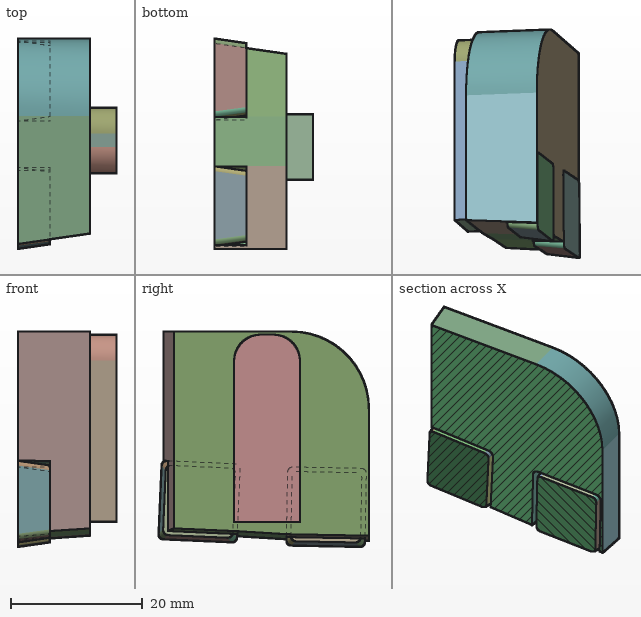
import cadquery as cq
import math

block_depth = 11.0
block_front_y = 0.75
block_back_y = 32.0
block_top_z = 32.8
corner_radius = 11.8
front_draft = 1.57
bottom_draft = 0.8

underside_back_z = 0.95
rear_bend_y = 19.42
rear_bend_z = 1.18
front_bend_y = 11.95
front_bend_z = 1.65
underside_front_z = 2.13
front_flat_slope = (underside_front_z - front_bend_z) / (front_bend_y - block_front_y)

boss_length = 4.0
boss_width = 10.0
boss_radius = 4.0
boss_center_y = 16.5
boss_bottom_z = 3.85
boss_top_z = 32.3

insert_size = 11.97
insert_radius = 0.8
insert_depth = 4.85
insert_draft_angle = 8.0
insert_back_size = insert_size - 2 * insert_depth * math.tan(math.radians(insert_draft_angle))
rear_place = (25.52, 6.1, -1.1)
front_place = (6.2, 6.92, -2.5)


def block_wire(x, setback, rise):
    """Side outline at X, with the front wall set back and the underside raised."""
    arc_inset = corner_radius * (1 - math.sqrt(0.5))
    front_z = underside_front_z - front_flat_slope * setback
    return (
        cq.Workplane("YZ", origin=(x, 0, 0))
        .moveTo(block_front_y + setback, block_top_z)
        .lineTo(block_back_y - corner_radius, block_top_z)
        .threePointArc(
            (block_back_y - arc_inset, block_top_z - arc_inset),
            (block_back_y, block_top_z - corner_radius),
        )
        .lineTo(block_back_y, underside_back_z + rise)
        .lineTo(rear_bend_y, rear_bend_z + rise)
        .lineTo(front_bend_y, front_bend_z + rise)
        .lineTo(block_front_y + setback, front_z + rise)
        .close()
        .val()
    )


def make_block():
    outer_wire = block_wire(0, 0, 0)
    inner_wire = block_wire(block_depth, front_draft, bottom_draft)
    return cq.Workplane(cq.Solid.makeLoft([outer_wire, inner_wire], True))


def make_boss():
    return (
        cq.Workplane("XY")
        .box(boss_length, boss_width, boss_top_z - boss_bottom_z, centered=(False, True, False))
        .edges("|X and >Z")
        .fillet(boss_radius)
        .translate((block_depth, boss_center_y, boss_bottom_z))
    )


def rounded_square(size):
    return cq.Sketch().rect(size, size).vertices().fillet(insert_radius)


def place(shape, center_y, center_z, tilt):
    return shape.rotate((0, 0, 0), (1, 0, 0), tilt).translate((0, center_y, center_z))


def make_pocket(center_y, center_z, tilt):
    """Straight-walled pocket that the drafted insert sits in."""
    pocket = cq.Workplane("YZ").placeSketch(rounded_square(insert_size)).extrude(insert_depth)
    return place(pocket, center_y, center_z, tilt)


def make_insert(center_y, center_z, tilt):
    """Insert tapering from its full size at X = 0, with equal corner radii at both ends."""
    face = rounded_square(insert_size)
    back = rounded_square(insert_back_size)
    insert = (
        cq.Workplane("YZ")
        .placeSketch(face, back.moved(cq.Location(cq.Vector(0, 0, insert_depth))))
        .loft(ruled=True)
    )
    return place(insert, center_y, center_z, tilt)


def make_front_opening(center_y, center_z, tilt):
    """Squares off the -Y half of the front pocket, where it breaks out of the front wall."""
    half_size = insert_size / 2
    opening = cq.Workplane("XY").box(insert_depth, half_size, insert_size, centered=(False, True, True))
    return place(opening.translate((0, -half_size / 2, 0)), center_y, center_z, tilt)


holder = make_block().union(make_boss())
inserts = []
for spot in (rear_place, front_place):
    holder = holder.cut(make_pocket(*spot))
    inserts.append(make_insert(*spot))
holder = holder.cut(make_front_opening(*front_place))

result = cq.Compound.makeCompound([holder.val(), *[insert.val() for insert in inserts]])